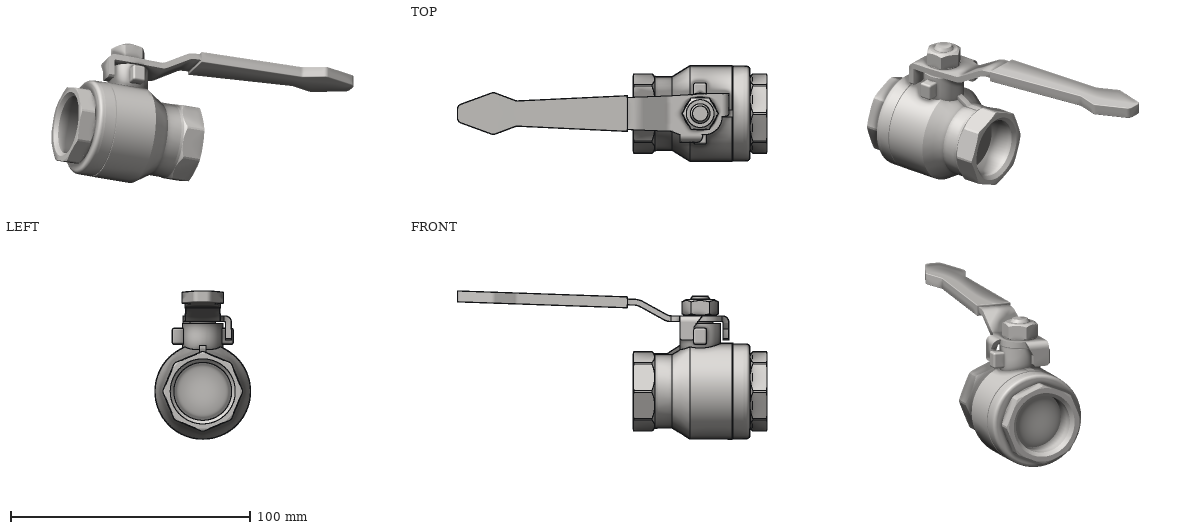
import cadquery as cq
import math


END_X = 28.0
OCTAGON_FLATS = 31.0
OCTAGON_CORNER_R = 16.6
LEFT_OCTAGON_X = -18.9
RIGHT_OCTAGON_X = 20.8
OCTAGON_CHAMFER = 1.2
END_FACE_R = 15.7
END_FACE_CHAMFER = 0.3
COLLAR_R = 15.6
COLLAR_LENGTH = 1.1
NECK_R = 15.4
CONE_START_X = -11.7
CONE_END_X = -4.3
BODY_R = 20.0
GROOVE_X = 13.3
GROOVE_DEPTH = 0.4
FLANGE_X = 13.8
FLANGE_R = 19.9
FLANGE_TAPER_X = 18.3
FLANGE_TAPER = 0.2
FLANGE_EDGE_R = 1.5
BORE_R = 12.1
BORE_DEPTH = 12.0
BORE_MOUTH_R = 13.6
BORE_MOUTH_CHAMFER = 1.5

BOSS_R = 8.5
BOSS_TOP = 28.4
RIB_WIDTH = 2.8
NECK_RIB_TOP = 15.8
NECK_RIB_KNEE_X = -13.8
BOSS_RIB_TOP = 19.2
BODY_RIB_TOP = 20.3
STOP_WIDTH = 5.5
STOP_REACH = 12.75
STOP_BOTTOM = 19.6
STOP_TOP = 26.4
STOP_EDGE_R = 0.9

PLATE_TOP = 31.6
PLATE_THICKNESS = 2.5
PLATE_BOTTOM = PLATE_TOP - PLATE_THICKNESS
LOWER_KNEE_X = -13.1
UPPER_KNEE_X = -25.5
UPPER_KNEE_Z = 38.45
UPPER_BEND_R = 8.0
LOWER_BEND_R = 6.5
GRIP_ANGLE = 2.0
ARM_OUTER_HALF = 6.7
ARM_END_X = -12.2
ARM_INNER_HALF = 7.4
PLATE_BACK_Y = 8.35
PLATE_FRONT_Y = -8.8
PLATE_FRONT_LEFT_X = -8.6
PLATE_ARC_START_X = 2.7
PLATE_RIGHT_X = 9.2
PLATE_RIGHT_LOW_Y = -1.3

TAB_BOTTOM = 21.4
TAB_BEND_R = PLATE_THICKNESS + 0.3
TAB_CORNER = 0.8
FRONT_TAB_Y = -12.0
FRONT_TAB_LEFT_X = -8.5
FRONT_TAB_RIGHT_X = -2.5
FRONT_TAB_ROOT_X = 1.0
FRONT_TAB_SLANT_Z = 27.0
RIGHT_TAB_X = 12.0
RIGHT_TAB_ROOT_Y = 0.0
RIGHT_TAB_LOW_Y = 1.5
RIGHT_TAB_SLANT_TOP = 28.5
RIGHT_TAB_SLANT_BOTTOM = 26.0

GRIP_END_X = -101.46
GRIP_TOP_Z = 42.01
GRIP_ROOT_X = -30.4
GRIP_THICKNESS = 4.65
GRIP_END_HALF = 3.4
GRIP_KNOB_X = -86.4
GRIP_KNOB_HALF = 8.9
GRIP_WAIST_X = -76.8
GRIP_WAIST_HALF = 5.3
GRIP_ROOT_HALF = 7.5
GRIP_CORNER_R = 2.4
GRIP_EDGE_R = 0.3
STRIP_INSERTION = 10.0

STEM_R = 5.4
STUD_R = 4.1
STUD_TOP = 39.8
STUD_CHAMFER = 0.9
STUD_CHAMFER_HEIGHT = 1.3
WASHER_R = 6.9
WASHER_HEIGHT = 0.4
NUT_FLATS = 13.2
NUT_TOP = 38.4
NUT_CHAMFER_R = 5.8
NUT_CHAMFER_DROP = 1.0
NUT_BASE_R = 6.9
NUT_BASE_DROP = 0.4
FULL_HEIGHT = 60.0
FULL_WIDTH = 40.0


def revolve_about_x(points):
    """Revolve an (x, radius) outline about the pipe axis."""
    return cq.Workplane("XY").polyline(points).close().revolve(360, (0, 0, 0), (1, 0, 0))


def box(x_range, y_range, z_range):
    lengths = [high - low for low, high in (x_range, y_range, z_range)]
    corner = (x_range[0], y_range[0], z_range[0])
    return cq.Workplane("XY").box(*lengths, centered=False).translate(corner)


def wrench_octagon(outer_x, inner_x):
    """Octagonal pipe end with turned-down corners, chamfered at both ends."""
    side = math.copysign(1, outer_x)
    octagon = (
        cq.Workplane("YZ", origin=(inner_x, 0, 0))
        .polygon(8, OCTAGON_FLATS / math.cos(math.pi / 8))
        .extrude(outer_x - inner_x)
    )
    envelope = revolve_about_x([
        (inner_x, 0),
        (inner_x, OCTAGON_CORNER_R - OCTAGON_CHAMFER),
        (inner_x + side * OCTAGON_CHAMFER, OCTAGON_CORNER_R),
        (outer_x - side * END_FACE_CHAMFER, OCTAGON_CORNER_R),
        (outer_x, END_FACE_R),
        (outer_x, 0),
    ])
    return octagon.intersect(envelope)


def pipe_bore(side):
    """Blind pipe bore with a chamfered mouth; side is -1 or +1 along X."""
    return revolve_about_x([
        (side * END_X, 0),
        (side * END_X, BORE_MOUTH_R),
        (side * (END_X - BORE_MOUTH_CHAMFER), BORE_R),
        (side * (END_X - BORE_DEPTH), BORE_R),
        (side * (END_X - BORE_DEPTH), 0),
    ])


def valve_shell():
    shell = revolve_about_x([
        (LEFT_OCTAGON_X, 0),
        (LEFT_OCTAGON_X, COLLAR_R),
        (LEFT_OCTAGON_X + COLLAR_LENGTH, NECK_R),
        (CONE_START_X, NECK_R),
        (CONE_END_X, BODY_R),
        (GROOVE_X, BODY_R),
        (GROOVE_X, BODY_R - GROOVE_DEPTH),
        (FLANGE_X, BODY_R - GROOVE_DEPTH),
        (FLANGE_X, 0),
    ])
    flange = revolve_about_x([
        (FLANGE_X, 0),
        (FLANGE_X, FLANGE_R),
        (FLANGE_TAPER_X, FLANGE_R),
        (RIGHT_OCTAGON_X, FLANGE_R - FLANGE_TAPER),
        (RIGHT_OCTAGON_X, 0),
    ])
    flange = flange.faces(">X").edges().fillet(FLANGE_EDGE_R)
    collar = (
        cq.Workplane("YZ", origin=(RIGHT_OCTAGON_X, 0, 0))
        .circle(COLLAR_R)
        .extrude(COLLAR_LENGTH)
    )
    return (
        shell.union(flange)
        .union(collar)
        .union(wrench_octagon(-END_X, LEFT_OCTAGON_X))
        .union(wrench_octagon(END_X, RIGHT_OCTAGON_X))
    )


def stem_boss():
    return cq.Workplane("XY").circle(BOSS_R).extrude(BOSS_TOP)


def ribs():
    """Rib along the top of the body, from the neck over the boss to the flange."""
    return (
        cq.Workplane("XZ")
        .moveTo(LEFT_OCTAGON_X, 0)
        .lineTo(LEFT_OCTAGON_X, NECK_RIB_TOP)
        .lineTo(NECK_RIB_KNEE_X, NECK_RIB_TOP)
        .lineTo(-BOSS_R, BOSS_RIB_TOP)
        .lineTo(0, BODY_RIB_TOP)
        .lineTo(FLANGE_X, BODY_RIB_TOP)
        .lineTo(FLANGE_X, 0)
        .close()
        .extrude(RIB_WIDTH / 2, both=True)
    )


def stop_blocks():
    """Blocks on both sides of the boss that limit the swing of the lever."""
    half = STOP_WIDTH / 2
    block = box((-half, half), (-STOP_REACH, STOP_REACH), (STOP_BOTTOM, STOP_TOP))
    return block.edges().fillet(STOP_EDGE_R)


def point_below(point, angle_before, angle_after):
    """Point on the underside of the strip, opposite a knee of its top line.

    The angles are the downward slopes of the top line before and after the knee.
    """
    mitre_angle = (angle_before + angle_after) / 2
    length = PLATE_THICKNESS / math.cos((angle_after - angle_before) / 2)
    return (point[0] - length * math.sin(mitre_angle), point[1] - length * math.cos(mitre_angle))


def bent_strip():
    """Side shape of the lever strip: grip direction, sloping arm, flat plate."""
    grip_slope = math.radians(GRIP_ANGLE)
    arm_slope = math.atan2(UPPER_KNEE_Z - PLATE_TOP, LOWER_KNEE_X - UPPER_KNEE_X)
    start_x = GRIP_ROOT_X - STRIP_INSERTION
    start = (start_x, UPPER_KNEE_Z + (UPPER_KNEE_X - start_x) * math.tan(grip_slope))
    upper_knee = (UPPER_KNEE_X, UPPER_KNEE_Z)
    lower_knee = (LOWER_KNEE_X, PLATE_TOP)
    end = (RIGHT_TAB_X, PLATE_TOP)
    upper_knee_below = point_below(upper_knee, grip_slope, arm_slope)
    lower_knee_below = point_below(lower_knee, arm_slope, 0)
    outline = [
        start,
        upper_knee,
        lower_knee,
        end,
        point_below(end, 0, 0),
        lower_knee_below,
        upper_knee_below,
        point_below(start, grip_slope, grip_slope),
    ]
    strip = cq.Workplane("XZ").polyline(outline).close().extrude(FULL_WIDTH / 2, both=True)
    bends = [
        (upper_knee, UPPER_BEND_R),
        (upper_knee_below, UPPER_BEND_R - PLATE_THICKNESS),
        (lower_knee, LOWER_BEND_R - PLATE_THICKNESS),
        (lower_knee_below, LOWER_BEND_R),
    ]
    for (x, z), radius in bends:
        strip = strip.edges(cq.NearestToPointSelector((x, 0, z))).fillet(radius)
    return strip


def lever_plate():
    """Flat plate and arm: the bent strip trimmed to its outline seen from above."""
    start_x = GRIP_ROOT_X - STRIP_INSERTION
    outline = (
        cq.Workplane("XY")
        .moveTo(start_x, ARM_OUTER_HALF)
        .lineTo(GRIP_ROOT_X, ARM_OUTER_HALF)
        .lineTo(ARM_END_X, ARM_INNER_HALF)
        .lineTo(PLATE_ARC_START_X, PLATE_BACK_Y)
        .lineTo(PLATE_RIGHT_X, PLATE_BACK_Y)
        .lineTo(PLATE_RIGHT_X, PLATE_RIGHT_LOW_Y)
        .tangentArcPoint((PLATE_ARC_START_X, PLATE_FRONT_Y), relative=False)
        .lineTo(PLATE_FRONT_LEFT_X, PLATE_FRONT_Y)
        .lineTo(ARM_END_X, -ARM_INNER_HALF)
        .lineTo(GRIP_ROOT_X, -ARM_OUTER_HALF)
        .lineTo(start_x, -ARM_OUTER_HALF)
        .close()
        .extrude(FULL_HEIGHT)
    )
    return bent_strip().intersect(outline)


def bent_tab(start, outer):
    """L-shaped tab in the XZ plane, from the plate edge at start down to TAB_BOTTOM.

    It is a slab as wide as the lever, to be trimmed to its outline.
    """
    inner_r = TAB_BEND_R - PLATE_THICKNESS
    bend_x = outer - TAB_BEND_R
    return (
        cq.Workplane("XZ")
        .moveTo(start, PLATE_TOP)
        .lineTo(bend_x, PLATE_TOP)
        .radiusArc((outer, PLATE_TOP - TAB_BEND_R), TAB_BEND_R)
        .lineTo(outer, TAB_BOTTOM)
        .lineTo(outer - PLATE_THICKNESS, TAB_BOTTOM)
        .lineTo(outer - PLATE_THICKNESS, PLATE_TOP - TAB_BEND_R)
        .radiusArc((bend_x, PLATE_BOTTOM), -inner_r)
        .lineTo(start, PLATE_BOTTOM)
        .close()
        .extrude(FULL_WIDTH / 2, both=True)
    )


def right_tab():
    """Tab bent down at the +X end of the plate."""
    outline = (
        cq.Workplane("YZ")
        .polyline([
            (PLATE_BACK_Y, FULL_HEIGHT),
            (PLATE_BACK_Y, TAB_BOTTOM + TAB_CORNER),
            (PLATE_BACK_Y - TAB_CORNER, TAB_BOTTOM),
            (RIGHT_TAB_LOW_Y + TAB_CORNER, TAB_BOTTOM),
            (RIGHT_TAB_LOW_Y, TAB_BOTTOM + TAB_CORNER),
            (RIGHT_TAB_LOW_Y, RIGHT_TAB_SLANT_BOTTOM),
            (RIGHT_TAB_ROOT_Y, RIGHT_TAB_SLANT_TOP),
            (PLATE_RIGHT_LOW_Y, PLATE_TOP),
            (PLATE_RIGHT_LOW_Y, FULL_HEIGHT),
        ])
        .close()
        .extrude(FULL_WIDTH)
    )
    return bent_tab(PLATE_ARC_START_X, RIGHT_TAB_X).intersect(outline)


def front_tab():
    """Tab bent down at the -Y edge of the plate."""
    outline = (
        cq.Workplane("XZ")
        .polyline([
            (FRONT_TAB_LEFT_X, FULL_HEIGHT),
            (FRONT_TAB_LEFT_X, TAB_BOTTOM + TAB_CORNER),
            (FRONT_TAB_LEFT_X + TAB_CORNER, TAB_BOTTOM),
            (FRONT_TAB_RIGHT_X - TAB_CORNER, TAB_BOTTOM),
            (FRONT_TAB_RIGHT_X, TAB_BOTTOM + TAB_CORNER),
            (FRONT_TAB_RIGHT_X, FRONT_TAB_SLANT_Z),
            (FRONT_TAB_ROOT_X, PLATE_TOP),
            (FRONT_TAB_ROOT_X, FULL_HEIGHT),
        ])
        .close()
        .extrude(FULL_WIDTH)
    )
    bent = bent_tab(0, -FRONT_TAB_Y).rotate((0, 0, 0), (0, 0, 1), -90)
    return bent.intersect(outline)


def grip():
    """Tapered grip sleeve with a knob at its free end, tilted by the grip angle."""
    half_outline = [
        (GRIP_ROOT_X, GRIP_ROOT_HALF),
        (GRIP_WAIST_X, GRIP_WAIST_HALF),
        (GRIP_KNOB_X, GRIP_KNOB_HALF),
        (GRIP_END_X, GRIP_END_HALF),
    ]
    outline = half_outline + [(x, -y) for x, y in reversed(half_outline)]
    sleeve = cq.Workplane("XY").polyline(outline).close().extrude(FULL_HEIGHT)
    sleeve = sleeve.edges("|Z").edges("<X").fillet(GRIP_CORNER_R)
    for x, half in half_outline[1:3]:
        for y in (half, -half):
            corner = cq.NearestToPointSelector((x, y, FULL_HEIGHT / 2))
            sleeve = sleeve.edges(corner).fillet(GRIP_CORNER_R)

    slope = math.radians(GRIP_ANGLE)
    root_top = GRIP_TOP_Z - (GRIP_ROOT_X - GRIP_END_X) * math.tan(slope)
    height = GRIP_THICKNESS / math.cos(slope)
    slab = (
        cq.Workplane("XZ")
        .polyline([
            (GRIP_END_X, GRIP_TOP_Z),
            (GRIP_ROOT_X, root_top),
            (GRIP_ROOT_X, root_top - height),
            (GRIP_END_X, GRIP_TOP_Z - height),
        ])
        .close()
        .extrude(FULL_WIDTH / 2, both=True)
    )
    return sleeve.intersect(slab).faces(">Z or <Z").edges().fillet(GRIP_EDGE_R)


def stem_and_nut():
    """Stem through the lever plate, washer face, hexagon nut and stud end."""
    stem = cq.Workplane("XY").circle(STEM_R).extrude(PLATE_TOP)
    washer = cq.Workplane("XY", origin=(0, 0, PLATE_TOP)).circle(WASHER_R).extrude(WASHER_HEIGHT)
    stud = cq.Workplane("XY").circle(STUD_R).extrude(STUD_TOP)
    stud = stud.faces(">Z").chamfer(STUD_CHAMFER_HEIGHT, STUD_CHAMFER)
    corner_r = NUT_FLATS / math.sqrt(3)
    nut_bottom = PLATE_TOP + WASHER_HEIGHT
    nut = (
        cq.Workplane("XY", origin=(0, 0, nut_bottom))
        .polygon(6, 2 * corner_r)
        .extrude(NUT_TOP - nut_bottom)
    )
    envelope = (
        cq.Workplane("XZ")
        .polyline([
            (0, nut_bottom),
            (NUT_BASE_R, nut_bottom),
            (corner_r, nut_bottom + NUT_BASE_DROP),
            (corner_r, NUT_TOP - NUT_CHAMFER_DROP),
            (NUT_CHAMFER_R, NUT_TOP),
            (0, NUT_TOP),
        ])
        .close()
        .revolve(360, (0, 0, 0), (0, 1, 0))
    )
    return stem.union(washer).union(nut.intersect(envelope)).union(stud)


def valve():
    body = valve_shell().union(stem_boss()).union(ribs()).union(stop_blocks())
    lever = lever_plate().union(right_tab()).union(front_tab()).union(grip())
    assembled = body.union(stem_and_nut()).union(lever)
    for side in (-1, 1):
        assembled = assembled.cut(pipe_bore(side))
    return assembled


result = valve()